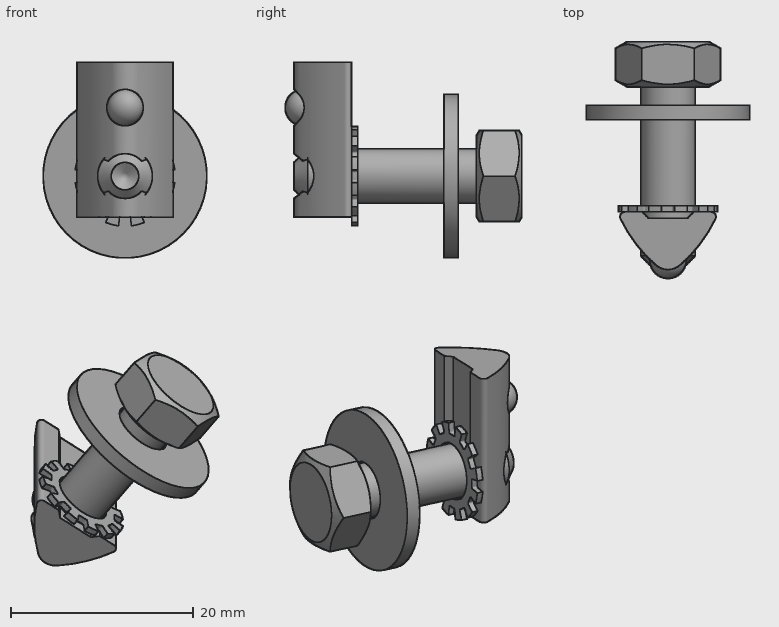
import cadquery as cq
import math


head_across_flats = 10.0
head_height = 5.0
head_face_diameter = 8.95
head_chamfer_angle = 30
shank_diameter = 6.0
shank_length = 20.0
tip_diameter = 3.01
dimple_depth = 0.85

washer_diameter = 17.99
washer_thickness = 1.6
washer_gap = 1.98
washer_bore = 6.4

star_diameter = 11.0
star_root_diameter = 8.58
star_thickness = 0.7
tooth_count = 12
tooth_root_fillet = 0.2

nut_height = 17.0
nut_depth = 6.32
nut_bottom_z = -4.5
nose_radius = 2.0
nose_half_width = 1.3
flank_radius = 15.6
corner_radius = 0.52
groove_floor_width = 4.2
groove_depth = 0.7
core_hole_diameter = 4.9

ball_diameter = 4.0
ball_z = 7.5
ball_protrusion = 1.0

nose_y = -shank_length
nut_back_y = nose_y + nut_depth
nut_top_z = nut_bottom_z + nut_height
ball_radius = ball_diameter / 2
ball_y = nose_y - ball_protrusion + ball_radius


def axial_cylinder(diameter, front_y, length, z=0):
    """Solid cylinder along Y, from front_y toward +Y."""
    start = cq.Vector(0, front_y, z)
    return cq.Workplane(cq.Solid.makeCylinder(diameter / 2, length, start, cq.Vector(0, 1, 0)))


def revolve_about_y(half_profile):
    """Revolve (radius, y) points about the bolt axis."""
    return cq.Workplane("XY").polyline(half_profile).close().revolve(360, (0, 0), (0, 1))


def make_bolt():
    across_corners = head_across_flats / math.cos(math.pi / 6)
    corner_r = across_corners / 2
    face_r = head_face_diameter / 2
    chamfer_height = (corner_r - face_r) * math.tan(math.radians(head_chamfer_angle))
    hexagon = cq.Workplane("XZ").polygon(6, across_corners).extrude(-head_height)
    trim = revolve_about_y([
        (0, 0),
        (face_r, 0),
        (corner_r, chamfer_height),
        (corner_r, head_height - chamfer_height),
        (face_r, head_height),
        (0, head_height),
    ])
    head = hexagon.intersect(trim)

    shank_r = shank_diameter / 2
    tip_r = tip_diameter / 2
    shank = revolve_about_y([
        (0, 0),
        (shank_r, 0),
        (shank_r, nose_y + shank_r - tip_r),
        (tip_r, nose_y),
        (0, nose_y + dimple_depth),
    ])
    return head.union(shank)


def make_flat_washer():
    front_y = -washer_gap - washer_thickness
    disc = axial_cylinder(washer_diameter, front_y, washer_thickness)
    return disc.cut(axial_cylinder(washer_bore, front_y, washer_thickness))


def make_star_washer():
    pitch = 2 * math.pi / tooth_count
    root_r = star_root_diameter / 2
    outer_r = star_diameter / 2
    cut_r = star_diameter
    half_gap = pitch / 4
    margin = tooth_root_fillet

    def polar(radius, angle):
        return (radius * math.cos(angle), radius * math.sin(angle))

    gap = (
        cq.Workplane("XZ", origin=(0, nut_back_y, 0))
        .moveTo(*polar(root_r, -half_gap))
        .lineTo(*polar(cut_r, -half_gap))
        .lineTo(*polar(cut_r, half_gap))
        .lineTo(*polar(root_r, half_gap))
        .threePointArc((root_r, 0), polar(root_r, -half_gap))
        .close()
        .extrude(-star_thickness)
    )
    root_edges = cq.selectors.BoxSelector(
        (root_r - margin, nut_back_y, -outer_r), (root_r + margin, nut_back_y + star_thickness, outer_r)
    )
    gap = gap.edges("|Y").edges(root_edges).fillet(tooth_root_fillet)

    star = axial_cylinder(star_diameter, nut_back_y, star_thickness)
    star = star.cut(axial_cylinder(washer_bore, nut_back_y, star_thickness))
    for i in range(tooth_count):
        star = star.cut(gap.rotate((0, 0, 0), (0, 1, 0), i * 360 / tooth_count))
    return star


def make_nut_profile():
    """Rounded triangle: nose arc, two convex flanks and two rounded back corners, all tangent."""
    nose_centre = cq.Vector(0, nose_y + nose_radius)
    nose_angle = math.asin(nose_half_width / nose_radius)
    nose_normal = cq.Vector(math.sin(nose_angle), -math.cos(nose_angle))
    nose_end = nose_centre + nose_normal * nose_radius
    flank_centre = nose_end - nose_normal * flank_radius

    corner_y = nut_back_y - corner_radius
    reach = flank_radius - corner_radius
    corner_x = flank_centre.x + math.sqrt(reach**2 - (corner_y - flank_centre.y) ** 2)
    corner_centre = cq.Vector(corner_x, corner_y)
    corner_normal = (corner_centre - flank_centre).normalized()
    flank_end = flank_centre + corner_normal * flank_radius
    back_end = cq.Vector(corner_x, nut_back_y)

    flank_mid = flank_centre + (nose_normal + corner_normal).normalized() * flank_radius
    corner_mid = corner_centre + (corner_normal + cq.Vector(0, 1)).normalized() * corner_radius

    def left(point):
        return (-point.x, point.y)

    return (
        cq.Workplane("XY", origin=(0, 0, nut_bottom_z))
        .moveTo(*left(nose_end))
        .threePointArc((0, nose_y), nose_end)
        .threePointArc(flank_mid, flank_end)
        .threePointArc(corner_mid, back_end)
        .lineTo(*left(back_end))
        .threePointArc(left(corner_mid), left(flank_end))
        .threePointArc(left(flank_mid), left(nose_end))
        .close()
    )


def make_slot_nut(bolt):
    nut = make_nut_profile().extrude(nut_height)

    floor_x = groove_floor_width / 2
    mouth_x = floor_x + groove_depth
    floor_y = nut_back_y - groove_depth
    groove = (
        cq.Workplane("XY", origin=(0, 0, nut_bottom_z))
        .polyline([(-mouth_x, nut_back_y), (-floor_x, floor_y), (floor_x, floor_y), (mouth_x, nut_back_y)])
        .close()
        .extrude(nut_height)
    )
    nut = nut.cut(groove)

    nut = nut.cut(axial_cylinder(core_hole_diameter, nose_y, nut_depth))
    nut = nut.cut(bolt)

    socket_mouth = axial_cylinder(ball_diameter, nose_y, ball_y - nose_y, ball_z)
    return nut.cut(socket_mouth).cut(make_ball())


def make_ball():
    return cq.Workplane("XY", origin=(0, ball_y, ball_z)).sphere(ball_radius)


bolt = make_bolt()
flat_washer = make_flat_washer()
star_washer = make_star_washer()
slot_nut = make_slot_nut(bolt)
ball = make_ball()

bodies = [bolt, flat_washer, star_washer, slot_nut, ball]
result = cq.Compound.makeCompound([body.solids().val() for body in bodies])